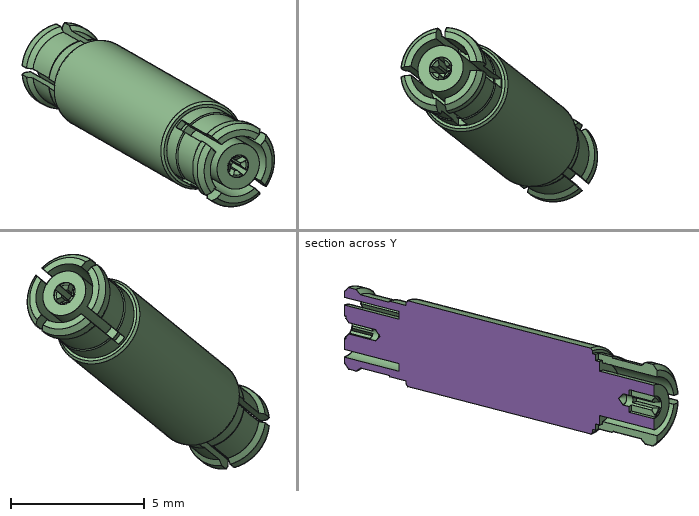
import cadquery as cq

length = 15.0
end_x = -length / 2

barrel_radius = 1.702
barrel_inset = 2.97
barrel_chamfer = 0.09

rim_radius = 1.62
rim_chamfer = 0.2
rim_flat_end = 0.57
neck_radius = 1.45
neck_start = 0.78
neck_end = 2.15
shoulder_radius = 1.5
shoulder_start = neck_end + shoulder_radius - neck_radius

gap_outer_radius = 1.17
gap_inner_radius = 0.88
gap_depth = 2.64

slot_width = 0.35
slot_length = 2.84
groove_floor_radius = 1.26

contact_radius = 0.44
contact_recess = 0.06
lead_in_radius = 0.36
socket_radius = 0.21
socket_depth = 1.5
contact_slot_width = 0.22
contact_slot_depth = 1.2

right_end_turn = 45.0
cross_angles = (0, 90)


def disc(radius, start, depth):
    """Cylinder about X that starts at a given distance from the left end face."""
    return cq.Workplane("YZ", origin=(end_x + start, 0, 0)).circle(radius).extrude(depth)


def cross_bars(size, width, start, depth):
    """Two crossed bars about the X axis."""
    bar = cq.Workplane("XY").box(depth, size, width).translate((end_x + start + depth / 2, 0, 0))
    bars = cq.Workplane("XY")
    for angle in cross_angles:
        bars = bars.add(bar.rotate((0, 0, 0), (1, 0, 0), angle))
    return bars.combine()


def collar_blank():
    """Left collar, turned about X and running into the middle of the barrel."""
    profile = [
        (0, 0),
        (0, rim_radius - rim_chamfer),
        (rim_chamfer, rim_radius),
        (rim_flat_end, rim_radius),
        (neck_start, neck_radius),
        (neck_end, neck_radius),
        (shoulder_start, shoulder_radius),
        (length / 2, shoulder_radius),
        (length / 2, 0),
    ]
    outline = cq.Workplane("XY").polyline([(end_x + x, r) for x, r in profile]).close()
    return outline.revolve(360, (0, 0, 0), (1, 0, 0))


def collar_slots():
    """Four through slots, each ending in a short groove outside the insulator."""
    bars = cross_bars(2 * barrel_radius, slot_width, 0, slot_length)
    through = bars.cut(disc(gap_inner_radius, 0, slot_length))
    return through.cut(disc(groove_floor_radius, gap_depth, slot_length - gap_depth))


def socket():
    """Blind bore with a shallow recess, a conical lead-in and a conical bottom."""
    lead_in_end = contact_recess + lead_in_radius - socket_radius
    profile = [
        (0, 0),
        (0, contact_radius),
        (contact_recess, contact_radius),
        (contact_recess, lead_in_radius),
        (lead_in_end, socket_radius),
        (socket_depth, socket_radius),
        (socket_depth + socket_radius, 0),
    ]
    outline = cq.Workplane("XY").polyline([(end_x + x, r) for x, r in profile]).close()
    return outline.revolve(360, (0, 0, 0), (1, 0, 0))


def contact_slots():
    """Crossed slots that split the contact, bounded by the contact radius."""
    bars = cross_bars(2 * contact_radius, contact_slot_width, 0, contact_slot_depth)
    return bars.intersect(disc(contact_radius, 0, contact_slot_depth))


def collar():
    """Complete left end."""
    gap = disc(gap_outer_radius, 0, gap_depth).cut(disc(gap_inner_radius, 0, gap_depth))
    body = collar_blank().cut(gap).cut(collar_slots())
    return body.cut(socket()).cut(contact_slots())


barrel = disc(barrel_radius, barrel_inset, length - 2 * barrel_inset).edges().chamfer(barrel_chamfer)
left_end = collar()
right_end = left_end.mirror("YZ").rotate((0, 0, 0), (1, 0, 0), right_end_turn)

result = barrel.union(left_end).union(right_end)